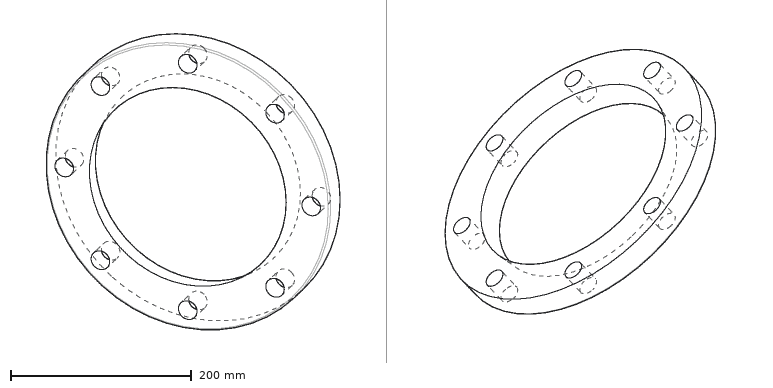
import cadquery as cq

outer_diameter = 340.0
thickness = 30.0
front_rim_radius = 2.0

front_bore_diameter = 235.0
back_bore_diameter = 244.8

bolt_circle_diameter = 295.0
bolt_hole_diameter = 22.0
bolt_hole_count = 8


def make_disc():
    """Solid disc with its front rim rounded."""
    disc = cq.Workplane("XZ").circle(outer_diameter / 2).extrude(thickness)
    return disc.faces("<Y").edges().fillet(front_rim_radius)


def make_bore():
    """Cone frustum that fills the tapered through bore."""
    return (
        cq.Workplane("XZ")
        .circle(back_bore_diameter / 2)
        .workplane(offset=thickness)
        .circle(front_bore_diameter / 2)
        .loft(ruled=True)
    )


def make_bolt_holes():
    """Ring of equally spaced cylinders that fill the through holes."""
    return (
        cq.Workplane("XZ")
        .polarArray(bolt_circle_diameter / 2, 0, 360, bolt_hole_count)
        .circle(bolt_hole_diameter / 2)
        .extrude(thickness)
    )


result = make_disc().cut(make_bore()).cut(make_bolt_holes())